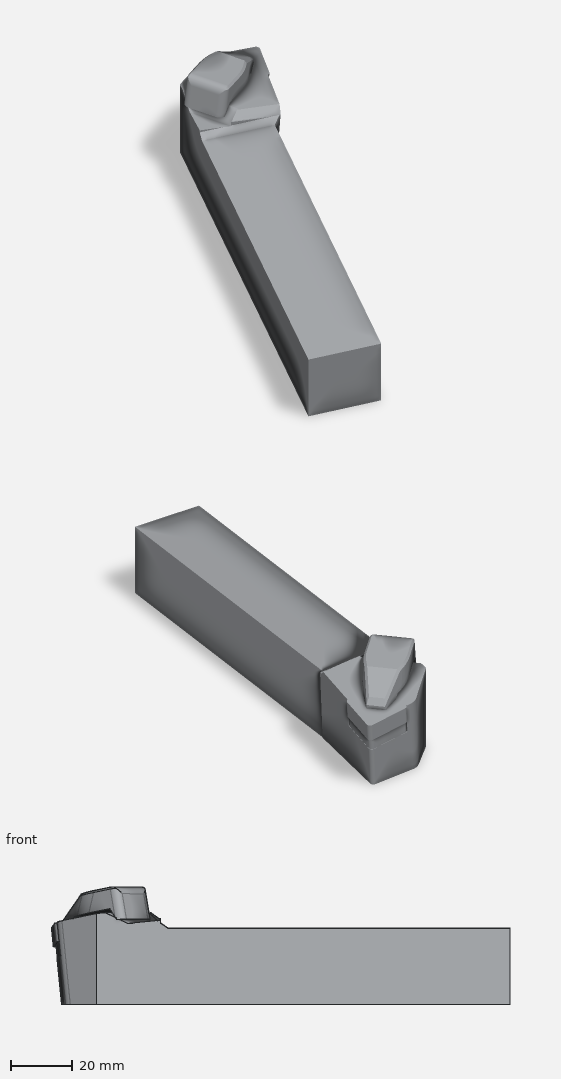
import cadquery as cq
import math

length = 150.0
shank_width = 25.0
shank_height = 25.0

rise_along_x = 0.1
rise_along_y = -math.tan(math.radians(6.0))
tip_x = -0.1
tip_y = 32.1
tip_z = 24.9

edge_lean = math.radians(5.0)
insert_edge = 16.0
insert_thickness = 6.2
nose_radius = 1.2

shim_thickness = 4.6
shim_setback = 0.08

insert_overhang = 0.8
head_back_x = 38.1
chamfer_start_x = 14.7
chamfer_end_y = 11.2
chamfer_blend_radius = 5.1
back_corner_x = 35.1

ramp_top_x = 32.5
ramp_foot_x = 35.2
ramp_drop = 2.5
step_x = 35.7
shank_ramp_slope = 0.7

axis_v = 22.2
seat_slope_top_u = 12.6
seat_slope_foot_u = 17.2
seat_drop = 4.2
seat_side_v = 32.8

clamp_height = 8.4
nose_u = -13.5
nose_half_width = 3.8
nose_side_slope = 0.34
nose_draft = 9.0
nose_face_height = 1.4
nose_top_u = -11.5
nose_top_height = 3.3
ridge_u = -2.1
body_half_width = 7.5
bend_u = 0.8
body_blend_radius = 16.5
heel_u = 17.2
heel_draft = math.radians(5.0)
heel_drop = 2.7
heel_corner_radius = 2.5
heel_round_diameter = 5.8
top_edge_chamfer = 0.8

pad_end_u = -7.5
gap_start_u = -5.7
gap = 1.4
hook_foot_u = 15.3

pin_diameter = 5.8

reach = 60.0
wedge_overrun = 4.5

heel_top_u = heel_u - (clamp_height + heel_drop) * math.tan(heel_draft)
lean_cos = math.cos(edge_lean)
lean_sin = math.sin(edge_lean)
rake_base_z = tip_z - rise_along_x * tip_x - rise_along_y * tip_y
rake_normal = cq.Vector(-rise_along_x, -rise_along_y, 1)


def rake_z(x, y):
    return rake_base_z + rise_along_x * x + rise_along_y * y


def rake_plane(x, y, dir_x, dir_y):
    """Workplane in the rake plane, its local x axis pointing along (dir_x, dir_y) seen from above."""
    along = cq.Vector(dir_x, dir_y, rise_along_x * dir_x + rise_along_y * dir_y)
    return cq.Plane(origin=(x, y, rake_z(x, y)), xDir=along, normal=rake_normal)


tip_plane = rake_plane(tip_x, tip_y, 1, 0)
axis_xy = axis_v * math.sqrt(0.5)
clamp_plane = rake_plane(axis_xy, axis_xy, 1, -1)
clamp_side_plane = cq.Plane(origin=clamp_plane.origin, xDir=clamp_plane.xDir, normal=-clamp_plane.yDir)
along_rake_normal = cq.selectors.ParallelDirSelector(rake_normal)


def nearest_on_clamp(u, v, w):
    return cq.selectors.NearestToPointSelector(clamp_plane.toWorldCoords((u, v, w)).toTuple())


def nearest(x, y, z):
    return cq.selectors.NearestToPointSelector((x, y, z))


def rhombus_prism(setback, edge, top, thickness):
    """Prism square to the rake plane, its two tip edges set back from the insert's."""
    shift = setback / (lean_cos - lean_sin)
    corners = [
        (shift, -shift),
        (shift + edge * lean_cos, -shift - edge * lean_sin),
        (shift + edge * (lean_cos + lean_sin), -shift - edge * (lean_cos + lean_sin)),
        (shift + edge * lean_sin, -shift - edge * lean_cos),
    ]
    base = cq.Workplane(tip_plane).workplane(offset=top - thickness)
    return base.polyline(corners).close().extrude(thickness)


def make_pin():
    middle = insert_edge * (lean_cos + lean_sin) / 2
    foot = -insert_thickness - shim_thickness / 2
    base = cq.Workplane(tip_plane).workplane(offset=foot)
    return base.center(middle, -middle).circle(pin_diameter / 2).extrude(-foot)


def make_insert():
    blank = rhombus_prism(0, insert_edge, 0, insert_thickness)
    return blank.edges(along_rake_normal).fillet(nose_radius).cut(make_pin())


def make_shim():
    setback = insert_overhang + shim_setback
    blank = rhombus_prism(setback, insert_edge - setback, -insert_thickness, shim_thickness)
    return blank.edges(along_rake_normal).fillet(nose_radius)


def make_head_blank():
    leaning = rhombus_prism(insert_overhang, reach, 0, reach)
    leaning = leaning.edges(nearest(tip_x, tip_y, shank_height / 2)).fillet(nose_radius)
    back_depth = head_back_x - back_corner_x
    upright = (
        cq.Workplane("XY")
        .moveTo(chamfer_start_x, 0)
        .lineTo(head_back_x, 0)
        .lineTo(head_back_x, shank_width)
        .lineTo(back_corner_x, shank_width + back_depth)
        .lineTo(back_corner_x, reach)
        .lineTo(chamfer_start_x - reach, reach)
        .close()
        .extrude(reach)
    )
    head = leaning.intersect(upright)
    chamfer_end_x = chamfer_start_x - chamfer_end_y
    return head.edges(nearest(chamfer_end_x, chamfer_end_y, shank_height / 2)).fillet(chamfer_blend_radius)


def make_back_ramp_cut():
    """Space above the sloping step that runs across the back of the rake face."""
    foot_offset = ramp_foot_x * rise_along_x - ramp_drop
    step_offset = step_x * rise_along_x - ramp_drop
    outline = [
        (ramp_top_x, ramp_top_x * rise_along_x),
        (ramp_foot_x, foot_offset),
        (step_x, step_offset),
        (step_x, reach),
        (ramp_top_x, reach),
    ]
    start_z = rake_z(0, -reach)
    wire = cq.Wire.makePolygon([cq.Vector(x, -reach, start_z + z) for x, z in outline], close=True)
    across = cq.Vector(0, 1, rise_along_y) * (2 * reach)
    return cq.Workplane(cq.Solid.extrudeLinear(wire, [], across))


def make_shank_ramp_cut():
    """Space above the slope that leads down to the top of the shank."""
    rise = shank_ramp_slope * (head_back_x - step_x)
    return (
        cq.Workplane("XZ")
        .moveTo(head_back_x, shank_height)
        .lineTo(step_x, shank_height + rise)
        .lineTo(step_x, reach)
        .lineTo(head_back_x, reach)
        .close()
        .extrude(-reach)
    )


def make_seat_cut():
    """Space above the sloping seat behind the clamp's heel."""
    side = seat_side_v - axis_v
    return (
        cq.Workplane(clamp_side_plane)
        .workplane(offset=-side)
        .moveTo(seat_slope_top_u, 0)
        .lineTo(seat_slope_foot_u, -seat_drop)
        .lineTo(reach, -seat_drop)
        .lineTo(reach, reach)
        .lineTo(seat_slope_top_u, reach)
        .close()
        .extrude(side + reach)
    )


def make_clamp_block():
    """Full-height clamp block: narrow drafted nose, straight sides, drafted heel with round corners."""
    foot_plane = cq.Workplane(clamp_plane).workplane(offset=-heel_drop)
    height = clamp_height + heel_drop
    wedge_start_u = nose_u - wedge_overrun
    wedge_end_u = heel_u + wedge_overrun
    start_half = nose_half_width - nose_side_slope * wedge_overrun
    end_half = nose_half_width + nose_side_slope * (wedge_end_u - nose_u)
    wedge = (
        foot_plane.moveTo(wedge_start_u, -start_half)
        .lineTo(wedge_end_u, -end_half)
        .lineTo(wedge_end_u, end_half)
        .lineTo(wedge_start_u, start_half)
        .close()
        .extrude(height, taper=nose_draft)
    )
    body = (
        cq.Workplane(clamp_side_plane)
        .moveTo(nose_u, -heel_drop)
        .lineTo(heel_u, -heel_drop)
        .lineTo(heel_top_u, clamp_height)
        .lineTo(ridge_u, clamp_height)
        .lineTo(nose_top_u, nose_top_height)
        .lineTo(nose_u, nose_face_height)
        .close()
        .extrude(body_half_width, both=True)
    )
    block = body.intersect(wedge)
    for side_v in (-body_half_width, body_half_width):
        block = block.edges(nearest_on_clamp(bend_u, side_v, clamp_height / 2)).fillet(body_blend_radius)
        block = block.edges(nearest_on_clamp(heel_u, side_v, clamp_height / 2)).fillet(heel_corner_radius)
    nose_edge = ((nose_top_u + ridge_u) / 2, (nose_top_height + clamp_height) / 2)
    body_edge = ((bend_u + heel_u) / 2, clamp_height)
    top_edges = []
    for side_v in (-body_half_width, body_half_width):
        for u, w in (nose_edge, body_edge):
            top_edges += block.edges(nearest_on_clamp(u, side_v, w)).vals()
    return block.newObject(top_edges).chamfer(top_edge_chamfer)


def make_clamp_profile():
    """Side outline of the clamp, swept across its full width."""
    setback = heel_round_diameter / 2 * math.tan((math.pi / 2 - heel_draft) / 2)
    round_end_u = heel_top_u + setback * math.sin(heel_draft)
    round_end_w = clamp_height - setback * math.cos(heel_draft)
    return (
        cq.Workplane(clamp_side_plane)
        .moveTo(nose_u, 0)
        .lineTo(nose_u, nose_face_height)
        .lineTo(nose_top_u, nose_top_height)
        .lineTo(ridge_u, clamp_height)
        .lineTo(heel_top_u - setback, clamp_height)
        .tangentArcPoint((round_end_u, round_end_w), relative=False)
        .lineTo(heel_u, -heel_drop)
        .lineTo(hook_foot_u, -heel_drop)
        .lineTo(seat_slope_top_u, gap)
        .lineTo(gap_start_u, gap)
        .lineTo(pad_end_u, 0)
        .close()
        .extrude(2 * body_half_width, both=True)
    )


def make_holder():
    """Shank, head, shim, clamp and pin as one solid, with a pocket for the insert."""
    shank = cq.Workplane("XY").box(length - head_back_x, shank_width, shank_height, centered=False)
    head = make_head_blank()
    for cut in (make_back_ramp_cut(), make_shank_ramp_cut(), make_seat_cut()):
        head = head.cut(cut)
    pocket = rhombus_prism(0, insert_edge, 0, insert_thickness + shim_thickness)
    holder = shank.translate((head_back_x, 0, 0)).union(head).cut(pocket)
    clamp = make_clamp_block().intersect(make_clamp_profile())
    for part in (make_shim(), clamp, make_pin()):
        holder = holder.union(part)
    return holder


holder = make_holder()
insert = make_insert()
result = cq.Compound.makeCompound([holder.val(), insert.val()])